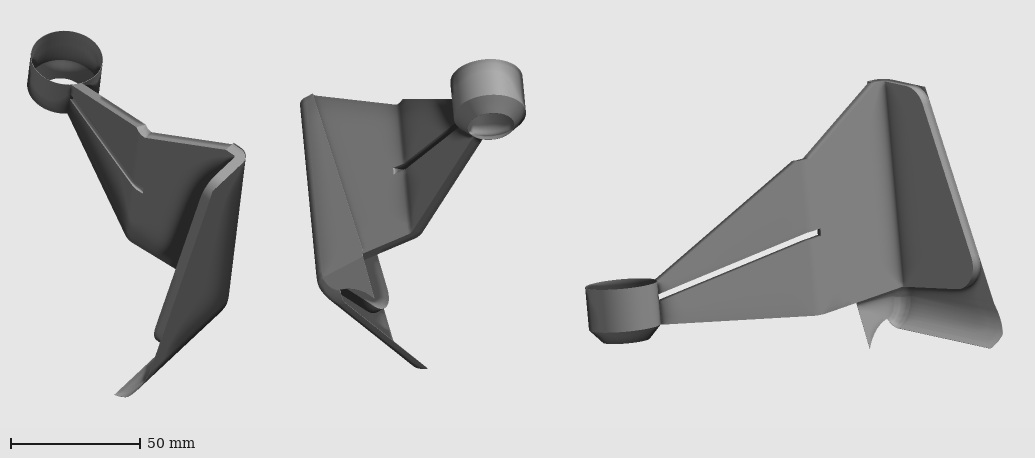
import cadquery as cq
import math


X_MAX = 65.5
Z_TOP = 50.3
TILT = 7.2
SKIN = 0.1
SLANT_TOP_Y = -8.6
SLANT_LOW_Y = -46.2
ROLL_TOP = -29.6
FAR = 78.5

PLATE = 4.0
FLANGE_OUTER_X = X_MAX - SKIN
FLANGE_INNER_X = FLANGE_OUTER_X - PLATE
FLANGE_BEND = 0.8
FLANGE_CORNER = 10.0
FLANGE_BOTTOM = -29.3
WEB_FRONT = 3.1
WEB_BACK = WEB_FRONT + PLATE
WEB_PEAK_X = 56.4
WEB_PEAK = 51.0
WEB_TOP_AT_ARM = 27.6
WEB_BOTTOM_AT_ARM = -33.1

ARM_ANGLE = 28.0
ARM_BEND_X = 17.7
ARM_BEND_RADIUS = 9.2
ARM_LENGTH = 62.8
ARM_ROOT_TOP = 27.4
ARM_SLOPE_START = 2.1
ARM_TOP_AT_CUP = -12.6
ARM_BOTTOM_AT_CUP = -28.8

SLOT_HEIGHT = 3.0
SLOT_TOP_AT_CUP = -17.3
SLOT_TOP_AT_BEND = -0.7
SLOT_TOP_AT_END = 0.1
SLOT_INTO_WEB = 6.3

CUP_RADIUS = 14.0
CUP_WALL = 0.1
CUP_X = CUP_RADIUS - X_MAX
CUP_Y = 42.5
CUP_TOP = -11.7
CUP_SHOULDER = -28.4
CUP_BOTTOM = -33.6
CUP_MOUTH = 9.2

ROLL_RADIUS = 15.6
ROLL_SWEEP = 71.5
ROLL_X = X_MAX - ROLL_RADIUS
SKIN_END_Y = -54.65
SKIN_STEP_Z = -39.8
SKIN_BACK_Y = 3.5
SKIN_CORNER = 5.2
KINK_Z = -33.6
KINK_RADIUS = 1.3
FIN_TILT = 23.3
FIN_X = 40.0
FIN_TIP_Z = -50.3
FIN_ARC_MIDDLE = (46.1, -44.2)
FIN_ARC_TOP = (53.5, -41.0)

PLUG_DIAMETER = 10.5
PLUG_CENTRES = [(-4.5, 33.4), (-15.7, -13.4)]

lean = math.radians(TILT)
bend = math.radians(ARM_ANGLE)
sweep = math.radians(ROLL_SWEEP)
slant = math.atan2(SLANT_TOP_Y - SLANT_LOW_Y, Z_TOP - ROLL_TOP)
ARM_X = ARM_BEND_X - ARM_BEND_RADIUS * math.sin(bend)
ARM_Y = WEB_FRONT + ARM_BEND_RADIUS * (1 - math.cos(bend))


def lean_back(shape):
    return shape.rotate((0, 0, 0), (1, 0, 0), -TILT)


def prism_along_x(points):
    return cq.Workplane("YZ", origin=(-FAR, 0, 0)).polyline(points).close().extrude(2 * FAR)


def sketch_along_y():
    """Start of an X-Z outline whose prism runs from Y = FAR towards -Y."""
    return cq.Workplane("XZ", origin=(0, FAR, 0))



def polar(centre, radius, angle):
    return (centre[0] + radius * math.cos(angle), centre[1] + radius * math.sin(angle))


def plate_strip():
    """The plate's plan section, flange to arm bend, as a tall prism."""
    corner = (FLANGE_INNER_X - FLANGE_BEND, WEB_FRONT - FLANGE_BEND)
    pivot = (ARM_BEND_X, WEB_FRONT + ARM_BEND_RADIUS)
    corner_outer = FLANGE_BEND + PLATE
    pivot_inner = ARM_BEND_RADIUS - PLATE
    bend_end = -math.pi / 2 - bend
    bend_middle = -math.pi / 2 - bend / 2
    return (
        cq.Workplane("XY", origin=(0, 0, -FAR))
        .moveTo(FLANGE_INNER_X, -FAR)
        .lineTo(FLANGE_INNER_X, corner[1])
        .threePointArc(polar(corner, FLANGE_BEND, math.pi / 4), (corner[0], WEB_FRONT))
        .lineTo(ARM_BEND_X, WEB_FRONT)
        .threePointArc(polar(pivot, ARM_BEND_RADIUS, bend_middle), polar(pivot, ARM_BEND_RADIUS, bend_end))
        .lineTo(*polar(pivot, pivot_inner, bend_end))
        .threePointArc(polar(pivot, pivot_inner, bend_middle), (ARM_BEND_X, WEB_BACK))
        .lineTo(corner[0], WEB_BACK)
        .threePointArc(polar(corner, corner_outer, math.pi / 4), (FLANGE_OUTER_X, corner[1]))
        .lineTo(FLANGE_OUTER_X, -FAR)
        .close()
        .extrude(2 * FAR)
    )


def web_outline():
    return (
        sketch_along_y()
        .polyline([
            (0, ARM_ROOT_TOP),
            (ARM_X, ARM_ROOT_TOP),
            (ARM_BEND_X, WEB_TOP_AT_ARM),
            (WEB_PEAK_X, WEB_PEAK),
            (WEB_PEAK_X, FAR),
            (FAR, FAR),
            (FAR, FLANGE_BOTTOM),
            (FLANGE_INNER_X, FLANGE_BOTTOM),
            (ARM_BEND_X, WEB_BOTTOM_AT_ARM),
            (0, WEB_BOTTOM_AT_ARM),
        ])
        .close()
        .extrude(2 * FAR)
    )


def flange_outline():
    """Level top, slanted free edge and leaned bottom edge, with both free corners rounded."""
    top_height = Z_TOP * math.cos(lean) + SLANT_TOP_Y * math.sin(lean)
    slant_length = (top_height - FLANGE_BOTTOM) / math.cos(slant - lean)
    free_corner = (SLANT_TOP_Y - slant_length * math.sin(slant), Z_TOP - slant_length * math.cos(slant))
    web_corner = (FLANGE_BOTTOM * math.sin(lean), FLANGE_BOTTOM * math.cos(lean))
    outline = prism_along_x([
        (FAR, Z_TOP),
        (SLANT_TOP_Y, Z_TOP),
        free_corner,
        web_corner,
        (web_corner[0], -FAR),
        (FAR, -FAR),
    ])
    outline = outline.edges("|X").edges("<Y").fillet(FLANGE_CORNER)
    return outline.edges("|X").edges(">Z").edges("<Y").fillet(FLANGE_CORNER)


def place_on_arm(shape):
    """Move a shape drawn along -X, front face at Y = 0, to the end of the arm bend."""
    return shape.rotate((0, 0, 0), (0, 0, 1), -ARM_ANGLE).translate((ARM_X, ARM_Y, 0))


def arm_plate():
    outline = [
        (0, WEB_BOTTOM_AT_ARM),
        (0, ARM_ROOT_TOP),
        (-ARM_SLOPE_START, ARM_ROOT_TOP),
        (-ARM_LENGTH, ARM_TOP_AT_CUP),
        (-ARM_LENGTH, ARM_BOTTOM_AT_CUP),
    ]
    arm = cq.Workplane("XZ", origin=(0, PLATE, 0)).polyline(outline).close().extrude(PLATE)
    return place_on_arm(arm)


def slot():
    top = [(-ARM_LENGTH, SLOT_TOP_AT_CUP), (0, SLOT_TOP_AT_BEND), (SLOT_INTO_WEB, SLOT_TOP_AT_END)]
    bottom = [(x, z - SLOT_HEIGHT) for x, z in reversed(top)]
    cutter = cq.Workplane("XZ").polyline(top + bottom).close().extrude(3 * PLATE, both=True)
    return place_on_arm(cutter)


def cup_solid(inset):
    profile = [
        (0, CUP_TOP),
        (CUP_RADIUS - inset, CUP_TOP),
        (CUP_RADIUS - inset, CUP_SHOULDER),
        (CUP_MOUTH - inset, CUP_BOTTOM),
        (0, CUP_BOTTOM),
    ]
    cup = cq.Workplane("XZ").polyline(profile).close().revolve(360, (0, 0, 0), (0, 1, 0))
    return cup.translate((CUP_X, CUP_Y, 0))


def plugs():
    """Cylinders from the inner face of the flange into the skin."""
    return (
        cq.Workplane("YZ", origin=(FLANGE_INNER_X, 0, 0))
        .pushPoints(PLUG_CENTRES)
        .circle(PLUG_DIAMETER / 2)
        .extrude(PLATE + SKIN / 2)
    )


def make_bracket():
    plate = lean_back(plate_strip().intersect(web_outline()).cut(slot())).intersect(flange_outline())
    cup_outside = cup_solid(0)
    cup = cup_outside.cut(cup_solid(CUP_WALL))
    arm = arm_plate().cut(slot()).cut(cup_outside)
    return plate.union(lean_back(arm.union(cup))).cut(plugs())



def wrapped_side(inset):
    """Y-Z line of the side behind the web, from above the part down past the fin."""
    kink_y = SKIN_BACK_Y - inset
    top_y = kink_y + (FAR - KINK_Z) * math.tan(lean)
    bottom_y = kink_y - (FAR + KINK_Z) * math.tan(math.radians(FIN_TILT))
    return [(top_y, FAR), (kink_y, KINK_Z), (bottom_y, -FAR)]


def skin_core(inset):
    """Solid bounded by the rolled side and the wrapped side; two of these enclose the sheet."""
    radius = ROLL_RADIUS - inset
    roll_centre = (ROLL_X, ROLL_TOP)
    rolled = (
        sketch_along_y()
        .moveTo(0, FAR)
        .lineTo(X_MAX - inset, FAR)
        .lineTo(X_MAX - inset, ROLL_TOP)
        .threePointArc(polar(roll_centre, radius, -math.pi / 4), (ROLL_X, ROLL_TOP - radius))
        .lineTo(0, ROLL_TOP - radius)
        .close()
        .extrude(3 * FAR)
    )
    core = rolled.intersect(prism_along_x(wrapped_side(inset) + [(-2 * FAR, -FAR), (-2 * FAR, FAR)]))

    kink = cq.selectors.BoxSelector((-FAR, 0, KINK_Z - SKIN), (FAR, 2 * SKIN_BACK_Y, KINK_Z + SKIN))
    core = core.edges("|X").edges(kink).fillet(KINK_RADIUS - inset)

    corner = cq.selectors.BoxSelector((ROLL_X - 1.3, -ROLL_RADIUS, -FAR), (FAR, FAR, FAR + 1.3), boundingbox=True)
    return core.edges(corner).fillet(SKIN_CORNER - inset)


def panel_outline():
    """X-Z region of the sheet above the radial end of the roll."""
    return (
        sketch_along_y()
        .polyline([
            (ROLL_X, ROLL_TOP),
            polar((ROLL_X, ROLL_TOP), 2 * ROLL_RADIUS, -sweep),
            (FAR, -FAR),
            (FAR, Z_TOP),
            (WEB_PEAK_X, Z_TOP),
            (FIN_X, ROLL_TOP),
        ])
        .close()
        .extrude(3 * FAR)
    )


def free_edge_outline():
    return prism_along_x([
        (SLANT_TOP_Y, Z_TOP),
        (SLANT_LOW_Y, ROLL_TOP),
        (SKIN_END_Y, SKIN_STEP_Z),
        (SKIN_END_Y, -FAR),
        (FAR, -FAR),
        (FAR, Z_TOP),
    ])


def fin():
    """Pointed lower end of the wrapped side."""
    outline = (
        sketch_along_y()
        .moveTo(FIN_X, ROLL_TOP)
        .lineTo(FIN_X, FIN_TIP_Z)
        .threePointArc(FIN_ARC_MIDDLE, FIN_ARC_TOP)
        .lineTo(FIN_ARC_TOP[0], ROLL_TOP)
        .close()
        .extrude(2 * FAR)
    )
    return prism_along_x(wrapped_side(0) + wrapped_side(SKIN)[::-1]).intersect(outline)


def make_skin():
    sheet = skin_core(0).cut(skin_core(SKIN))
    panel = sheet.intersect(panel_outline()).intersect(free_edge_outline())
    return panel.union(fin()).union(plugs())


bracket = make_bracket()
skin = make_skin()
result = cq.Compound.makeCompound([bracket.val(), skin.val()])